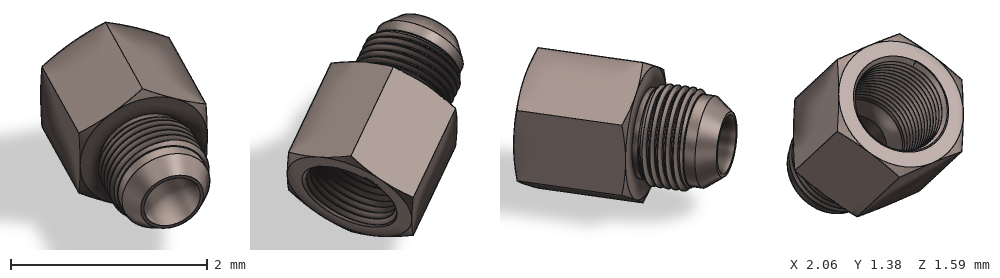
import cadquery as cq
import math

hex_length = 1.2
thread_start = 1.262
thread_end = 1.755
nose_start = 1.875
total_length = 2.06

across_flats = 1.375
hex_chamfer_angle = 20.0

thread_half_angle = math.radians(30)
joint_overlap = 0.005
CYLINDRICAL_HELIX = 360.0

neck_diameter = 0.95
nose_tip_diameter = 0.678
male_major_diameter = 1.0625
male_root_diameter = 0.957
male_pitch = 1 / 12
male_crest_width = 0.008
male_first_crest_x = 1.344 - 2 * male_pitch

through_diameter = 0.61
female_mouth_diameter = 1.05
female_minor_diameter = 0.958
female_depth = 1.03
female_pitch = 1 / 14
female_thread_height = 0.8 * female_pitch
female_root_width = 0.002
female_first_groove_x = 0.058
female_groove_turns = 13
female_runout_turns = 0.7
taper_per_side = 1 / 32
seat_half_angle = math.radians(60)
end_clearance = 0.1


def revolve_about_x(points):
    """Revolve a closed (x, radius) outline around the X axis, with its seam on +Z."""
    return cq.Workplane("XZ").polyline(points).close().revolve(360, (0, 0, 0), (1, 0, 0))


def sweep_thread_form(base_radius, tip_radius, tip_width, pitch, turns, cone_angle=CYLINDRICAL_HELIX):
    """Sweep a V with a flat tip along a right-hand helix that climbs the Z axis from the +X side."""
    tip_half_width = tip_width / 2
    base_half_width = tip_half_width + (tip_radius - base_radius) * math.tan(thread_half_angle)
    outline = [
        (base_radius, base_half_width),
        (tip_radius, tip_half_width),
        (tip_radius, -tip_half_width),
        (base_radius, -base_half_width),
    ]
    helix = cq.Wire.makeHelix(pitch, turns * pitch, base_radius, angle=cone_angle)
    return cq.Workplane("XZ").polyline(outline).close().sweep(cq.Workplane(helix), isFrenet=True)


def make_hex_body():
    """Hexagonal prism with corners on +Z and -Z and both ends chamfered by a cone."""
    flat_radius = across_flats / 2
    corner_radius = flat_radius / math.cos(math.radians(30))
    chamfer_length = (corner_radius - flat_radius) * math.tan(math.radians(hex_chamfer_angle))
    prism = (
        cq.Workplane("YZ")
        .polygon(6, 2 * corner_radius)
        .extrude(hex_length)
        .rotate((0, 0, 0), (1, 0, 0), 90)
    )
    envelope = revolve_about_x([
        (0, 0),
        (0, flat_radius),
        (chamfer_length, corner_radius),
        (hex_length - chamfer_length, corner_radius),
        (hex_length, flat_radius),
        (hex_length, 0),
    ])
    return prism.intersect(envelope)


def make_male_end():
    """Neck, thread core and conical nose."""
    neck_radius = neck_diameter / 2
    root_radius = male_root_diameter / 2
    return revolve_about_x([
        (hex_length - joint_overlap, 0),
        (hex_length - joint_overlap, neck_radius),
        (thread_start, neck_radius),
        (thread_start, root_radius),
        (thread_end, root_radius),
        (thread_end, neck_radius),
        (nose_start, neck_radius),
        (total_length, nose_tip_diameter / 2),
        (total_length, 0),
    ])


def make_male_ridge():
    """Helical V ridge, trimmed to 45 degree lead-ins at both ends of the thread."""
    crest_radius = male_major_diameter / 2
    base_radius = male_root_diameter / 2 - joint_overlap
    turns = math.ceil((thread_end - male_first_crest_x) / male_pitch) + 1
    ridge = (
        sweep_thread_form(base_radius, crest_radius, male_crest_width, male_pitch, turns)
        .rotate((0, 0, 0), (0, 1, 0), 90)
        .translate((male_first_crest_x, 0, 0))
    )
    trim_radius = base_radius - joint_overlap
    lead_in = 2 * (crest_radius - trim_radius)
    envelope = revolve_about_x([
        (thread_start, 0),
        (thread_start, trim_radius),
        (thread_start + lead_in, trim_radius + lead_in),
        (thread_end - lead_in, trim_radius + lead_in),
        (thread_end, trim_radius),
        (thread_end, 0),
    ])
    return ridge.intersect(envelope)


def make_bore_cutter():
    """Tapered bore, its conical seat, the through hole and the helical thread groove as one body."""
    minor_radius = female_minor_diameter / 2
    deep_radius = minor_radius - female_depth * taper_per_side
    through_radius = through_diameter / 2
    seat_end = female_depth + (deep_radius - through_radius) / math.tan(seat_half_angle)
    plug = revolve_about_x([
        (-end_clearance, 0),
        (-end_clearance, minor_radius + end_clearance * taper_per_side),
        (female_depth, deep_radius),
        (seat_end, through_radius),
        (total_length + end_clearance, through_radius),
        (total_length + end_clearance, 0),
    ])

    groove_start_x = female_first_groove_x + female_groove_turns * female_pitch
    groove_minor_radius = minor_radius - groove_start_x * taper_per_side
    groove = sweep_thread_form(
        groove_minor_radius - joint_overlap,
        groove_minor_radius + female_thread_height,
        female_root_width,
        female_pitch,
        female_groove_turns + female_runout_turns,
        math.degrees(math.atan(taper_per_side)),
    )
    groove = (
        groove.rotate((0, 0, 0), (0, 1, 0), -90)
        .rotate((0, 0, 0), (1, 0, 0), -90)
        .translate((groove_start_x, 0, 0))
    )
    return plug.union(groove, clean=False)


def make_mouth_cutter():
    """45 degree chamfer cone at the female opening."""
    mouth_radius = female_mouth_diameter / 2
    return revolve_about_x([
        (-end_clearance, 0),
        (-end_clearance, mouth_radius + end_clearance),
        (end_clearance, mouth_radius - end_clearance),
        (end_clearance, 0),
    ])


body = make_hex_body().union(make_male_end()).union(make_male_ridge(), clean=False)
result = body.cut(make_bore_cutter(), clean=False).cut(make_mouth_cutter(), clean=False)